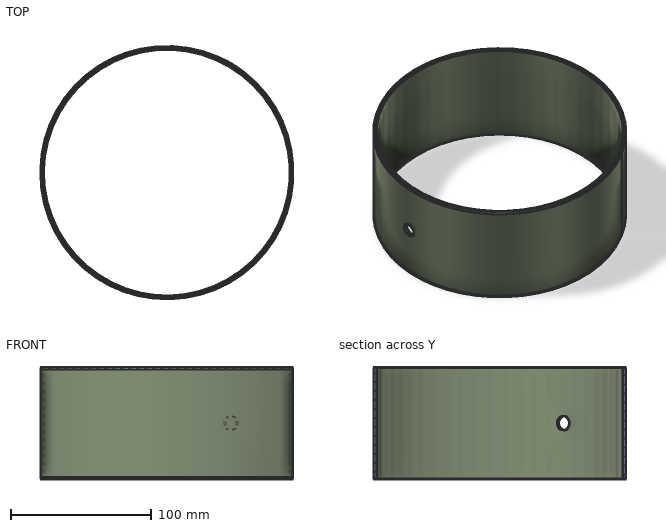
import cadquery as cq
import math

outer_diameter = 180.0
wall_thickness = 2.5
height = 80.0

outer_bevel_height = 1.8
outer_bevel_angle = 20.0
outer_bevel_depth = outer_bevel_height * math.tan(math.radians(outer_bevel_angle))

inner_bevel = 0.8

slit_angle = 1.0

hole_diameter = 10.0
hole_angle = 180.0 - slit_angle - 120.0
hole_height = height / 2

outer_radius = outer_diameter / 2
inner_radius = outer_radius - wall_thickness


def make_split_ring():
    """Thin ring with bevelled rims, made by turning its wall section just short of a full turn."""
    outer_rim_radius = outer_radius - outer_bevel_depth
    inner_rim_radius = inner_radius + inner_bevel
    section = (
        cq.Workplane("XZ")
        .moveTo(-inner_radius, inner_bevel)
        .lineTo(-inner_rim_radius, 0)
        .lineTo(-outer_rim_radius, 0)
        .lineTo(-outer_radius, outer_bevel_height)
        .lineTo(-outer_radius, height - outer_bevel_height)
        .lineTo(-outer_rim_radius, height)
        .lineTo(-inner_rim_radius, height)
        .lineTo(-inner_radius, height - inner_bevel)
        .close()
    )
    return section.revolve(360 - slit_angle, (0, 0, 0), (0, 1, 0))


def make_hole_cutter():
    """Cylinder running outwards from the ring axis at the hole's angle and height."""
    cutter = cq.Workplane("YZ").center(0, hole_height).circle(hole_diameter / 2).extrude(outer_radius)
    return cutter.rotate((0, 0, 0), (0, 0, 1), hole_angle)


result = make_split_ring().cut(make_hole_cutter())